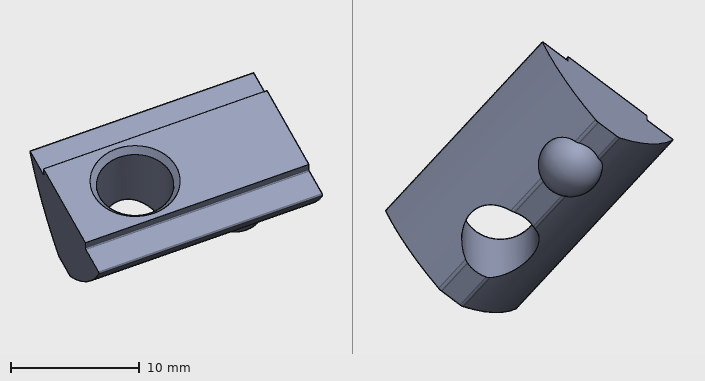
import cadquery as cq

length = 19.0
rib_width = 7.98
rib_height = 0.75
body_height = 7.6

shoulder_width = 13.32
base_width = 2.2
flank_radius = 17.48
shoulder_rounding = 0.1
rib_root_rounding = 0.08
base_rounding = 0.5

hole_diameter = 6.0
countersink_diameter = 7.0
hole_y = -3.5

ball_diameter = 5.0
ball_y = 5.0
total_height = 9.3


def make_body():
    """Extrude the ribbed, curved-flank section along Y and round its long edges."""
    half_rib = rib_width / 2
    half_shoulder = shoulder_width / 2
    half_base = base_width / 2
    body = (
        cq.Workplane("XZ", origin=(0, length / 2, 0))
        .moveTo(-half_rib, 0)
        .lineTo(half_rib, 0)
        .lineTo(half_rib, -rib_height)
        .lineTo(half_shoulder, -rib_height)
        .radiusArc((half_base, -body_height), flank_radius)
        .lineTo(-half_base, -body_height)
        .radiusArc((-half_shoulder, -rib_height), flank_radius)
        .lineTo(-half_rib, -rib_height)
        .close()
        .extrude(length)
    )
    body = body.edges("|Y and (<X or >X)").fillet(shoulder_rounding)
    for x in (-half_rib, half_rib):
        rib_root = cq.selectors.NearestToPointSelector((x, 0, -rib_height))
        body = body.edges(rib_root).fillet(rib_root_rounding)
    return body.faces("<Z").edges("|Y").fillet(base_rounding)


def make_hole():
    """Through hole with its countersink at the top face."""
    countersink_depth = (countersink_diameter - hole_diameter) / 2
    top = cq.Workplane("XY", origin=(0, hole_y, 0))
    bore = top.circle(hole_diameter / 2).extrude(-body_height)
    countersink = top.circle(countersink_diameter / 2).extrude(-countersink_depth, taper=45)
    return bore.union(countersink)


def make_ball():
    """Ball whose lowest point sets the overall height."""
    ball_radius = ball_diameter / 2
    return cq.Workplane("XY", origin=(0, ball_y, ball_radius - total_height)).sphere(ball_radius)


result = make_body().cut(make_hole()).union(make_ball())